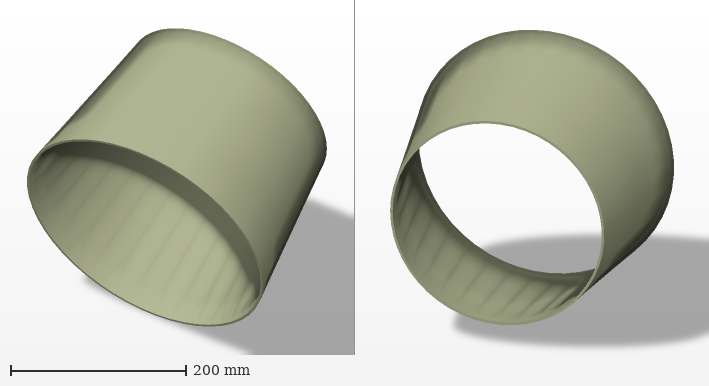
import cadquery as cq

wide_diameter = 306.0
narrow_diameter = 254.0
length = 203.0
wall = 3.0

wide_radius = wide_diameter / 2
narrow_radius = narrow_diameter / 2
wide_end_y = -length / 2
narrow_end_y = length / 2

wall_section = (
    cq.Workplane("XY")
    .moveTo(wide_radius - wall, wide_end_y)
    .lineTo(wide_radius, wide_end_y)
    .lineTo(narrow_radius, narrow_end_y)
    .lineTo(narrow_radius - wall, narrow_end_y)
    .close()
)

result = wall_section.revolve(360, (0, 0, 0), (0, 1, 0))